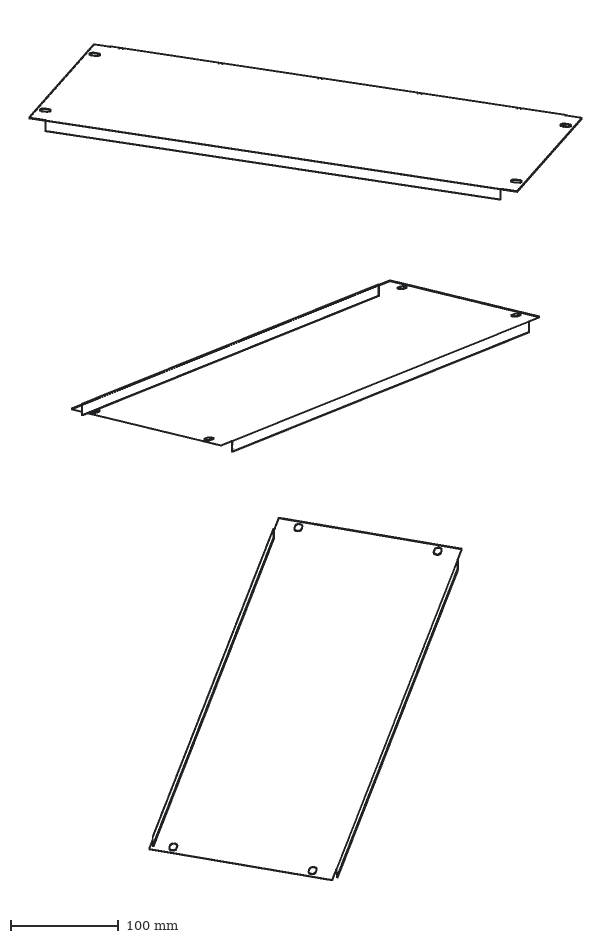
import cadquery as cq

panel_length = 482.0
panel_width = 177.5
panel_height = 11.0

sheet_thickness = 1.0
flange_length = 449.0
bend_relief = sheet_thickness

slot_length = 10.0
slot_width = 6.7
slot_spacing_x = 465.0
slot_spacing_y = 133.5

ear_width = panel_width - 2 * bend_relief


def centred_plate(length, width, thickness):
    """Plate centred in X and Y, with its top face at Z = 0."""
    return cq.Workplane("XY").box(length, width, thickness, centered=(True, True, False)).translate(
        (0, 0, -thickness)
    )


def flange(side):
    """Downturned flange along the +Y (side = 1) or -Y (side = -1) edge."""
    centre_y = side * (panel_width - sheet_thickness) / 2
    return centred_plate(flange_length, sheet_thickness, panel_height).translate((0, centre_y, 0))


panel = centred_plate(panel_length, ear_width, sheet_thickness)
panel = panel.union(centred_plate(flange_length, panel_width, sheet_thickness))

for side in (-1, 1):
    panel = panel.union(flange(side))

slots = (
    cq.Workplane("XY")
    .rarray(slot_spacing_x, slot_spacing_y, 2, 2)
    .slot2D(slot_length, slot_width)
    .extrude(-sheet_thickness)
)

result = panel.cut(slots)